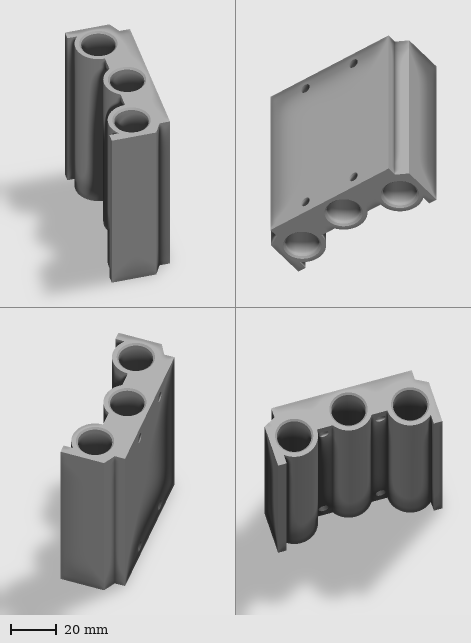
import cadquery as cq

WIDTH = 75.0
DEPTH = 28.0
HEIGHT = 82.0

BACK_WIDTH = 64.1
SHOULDER_START = 4.75
SHOULDER_END = 7.8
FLOOR_DEPTH = 15.9
LEG_THICKNESS = 3.9

TUBE_RADIUS = 10.4
BORE_RADIUS = 7.55
BORE_CHAMFER = 0.8
SIDE_TUBE_OFFSET = 26.5
SIDE_TUBE_DEPTH = 15.9
MIDDLE_TUBE_DEPTH = TUBE_RADIUS

HOLE_DIAMETER = 4.6
HOLE_SPACING_X = 26.1
HOLE_END_DISTANCE = 6.1

BACK_Y = DEPTH / 2
FRONT_Y = -DEPTH / 2
FLOOR_Y = BACK_Y - FLOOR_DEPTH
BOTTOM_Z = -HEIGHT / 2

tube_centers = [
    (-SIDE_TUBE_OFFSET, BACK_Y - SIDE_TUBE_DEPTH),
    (0, BACK_Y - MIDDLE_TUBE_DEPTH),
    (SIDE_TUBE_OFFSET, BACK_Y - SIDE_TUBE_DEPTH),
]


def block():
    """Channel with sloped back shoulders and a leg along each side."""
    half_width = WIDTH / 2
    half_back = BACK_WIDTH / 2
    leg_inside = half_width - LEG_THICKNESS
    right_half = [
        (half_back, BACK_Y),
        (half_back, BACK_Y - SHOULDER_START),
        (half_width, BACK_Y - SHOULDER_END),
        (half_width, FRONT_Y),
        (leg_inside, FRONT_Y),
        (leg_inside, FLOOR_Y),
    ]
    left_half = [(-x, y) for x, y in reversed(right_half)]
    outline = cq.Workplane("XY", origin=(0, 0, BOTTOM_Z)).polyline(right_half + left_half)
    return outline.close().extrude(HEIGHT)


def tubes(radius):
    """Full-height cylinders on the three tube axes."""
    base = cq.Workplane("XY", origin=(0, 0, BOTTOM_Z))
    return base.pushPoints(tube_centers).circle(radius).extrude(HEIGHT)


def cross_holes():
    """Four holes running through the webs along Y."""
    return (
        cq.Workplane("XZ", origin=(0, BACK_Y, 0))
        .rect(HOLE_SPACING_X, HEIGHT - 2 * HOLE_END_DISTANCE, forConstruction=True)
        .vertices()
        .circle(HOLE_DIAMETER / 2)
        .extrude(DEPTH)
    )


def bores():
    """Bores widened by a chamfer at both ends."""
    cutter = tubes(BORE_RADIUS)
    for end_z, inward in ((BOTTOM_Z, 1), (BOTTOM_Z + HEIGHT, -1)):
        for x, y in tube_centers:
            cone = cq.Solid.makeCone(
                BORE_RADIUS + BORE_CHAMFER,
                BORE_RADIUS,
                BORE_CHAMFER,
                pnt=cq.Vector(x, y, end_z),
                dir=cq.Vector(0, 0, inward),
            )
            cutter = cutter.union(cq.Workplane(cone))
    return cutter


result = block().union(tubes(TUBE_RADIUS)).cut(cross_holes()).cut(bores())